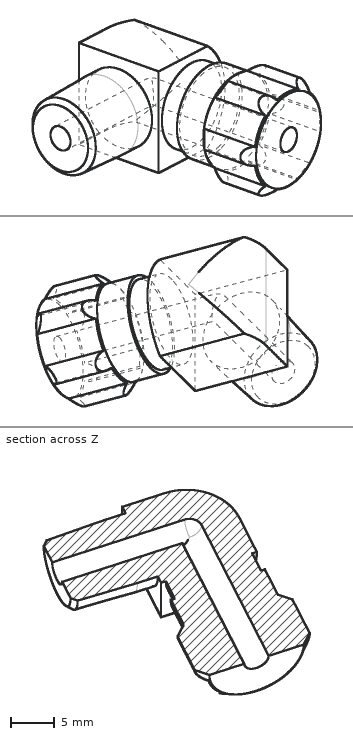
import cadquery as cq
import math

body_side = 11.98
body_height = 13.0
corner_radius = 6.62
crown_rise = 3.13
axis_offset = body_side / 2

spigot_diameter = 10.0
spigot_length = 10.52
spigot_straight = 2.55
spigot_chamfer = 0.64
taper_per_length = 1 / 16

total_length = 26.5
neck_diameter = 10.8
neck_end = 14.63
collar_diameter = 11.77
collar_end = 18.58
nut_diameter = 12.08
rib_count = 6
rib_radius = 1.22
rib_tip_radius = 7.18
rib_clearance = 0.26

bore_diameter = 3.0


def x_cylinder(start, end, diameter):
    return (
        cq.Workplane("YZ", origin=(start, axis_offset, 0))
        .circle(diameter / 2)
        .extrude(end - start)
    )


def make_body():
    crown_start = body_side - crown_rise
    half_height = body_height / 2
    block = (
        cq.Workplane("YZ")
        .moveTo(0, -half_height)
        .lineTo(crown_start, -half_height)
        .threePointArc((body_side, 0), (crown_start, half_height))
        .lineTo(0, half_height)
        .close()
        .extrude(body_side)
    )
    rounded_plan = (
        cq.Workplane("XY")
        .rect(body_side, body_side, centered=False)
        .extrude(half_height, both=True)
        .edges("|Z and <X and >Y")
        .fillet(corner_radius)
    )
    return block.intersect(rounded_plan)


def make_spigot():
    root_radius = spigot_diameter / 2
    taper_length = spigot_length - spigot_straight - spigot_chamfer
    tip_radius = root_radius - taper_length * taper_per_length / 2
    return (
        cq.Workplane("XY", origin=(axis_offset, 0, 0))
        .moveTo(0, axis_offset)
        .lineTo(root_radius, axis_offset)
        .lineTo(root_radius, -spigot_straight)
        .lineTo(tip_radius, spigot_chamfer - spigot_length)
        .lineTo(tip_radius - spigot_chamfer, -spigot_length)
        .lineTo(0, -spigot_length)
        .close()
        .revolve(360, (0, 0, 0), (0, 1, 0))
    )


def make_nut():
    nut = x_cylinder(collar_end, total_length, nut_diameter)
    center_radius = rib_tip_radius - rib_radius
    for index in range(rib_count):
        angle = 2 * math.pi * index / rib_count
        rib = x_cylinder(collar_end, total_length, 2 * rib_radius).translate(
            (0, center_radius * math.cos(angle), center_radius * math.sin(angle))
        )
        nut = nut.union(rib)
    bevel = rib_tip_radius - collar_diameter / 2
    envelope_diameter = 2 * (rib_tip_radius + rib_clearance)
    envelope = (
        x_cylinder(collar_end, total_length, envelope_diameter)
        .faces("|X")
        .chamfer(bevel + rib_clearance)
    )
    return nut.intersect(envelope)


def make_passage():
    inlet = (
        cq.Workplane("XZ", origin=(axis_offset, axis_offset, 0))
        .circle(bore_diameter / 2)
        .extrude(axis_offset + spigot_length)
    )
    outlet = x_cylinder(axis_offset, total_length, bore_diameter)
    elbow = cq.Workplane("XY", origin=(axis_offset, axis_offset, 0)).sphere(bore_diameter / 2)
    return inlet.union(outlet).union(elbow)


result = (
    make_body()
    .union(make_spigot())
    .union(x_cylinder(axis_offset, neck_end, neck_diameter))
    .union(x_cylinder(neck_end, collar_end, collar_diameter))
    .union(make_nut())
    .cut(make_passage())
)